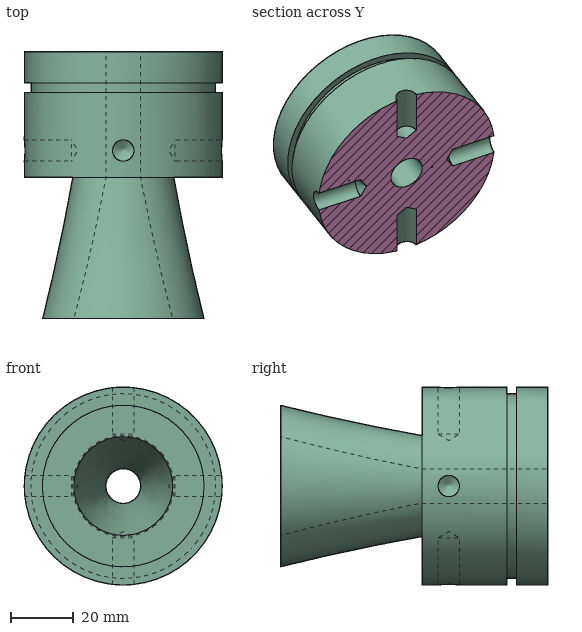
import cadquery as cq
import math

total_length = 84.95

body_diameter = 63.0
body_length = 40.0

groove_diameter = 58.8
groove_offset = 10.0
groove_width = 3.0

neck_diameter = 32.2
exit_diameter = 51.4
exit_wall = 10.0
flare_sag = 0.4

throat_diameter = 11.0

radial_hole_diameter = 6.78
radial_hole_depth = 15.0
drill_point_angle = 118.0
radial_hole_offset = 31.5
radial_hole_count = 4

body_radius = body_diameter / 2
neck_radius = neck_diameter / 2
exit_radius = exit_diameter / 2
throat_radius = throat_diameter / 2
exit_bore_radius = exit_radius - exit_wall
body_front = -body_length
nozzle_exit = -total_length
nozzle_middle = (body_front + nozzle_exit) / 2
full_turn = 360.0


def turned(profile):
    """Revolve a closed XY profile about the Y axis."""
    return profile.close().revolve(full_turn, (0, 0, 0), (0, 1, 0))


def flared_solid(small_radius, large_radius):
    """Solid that widens along a shallow arc from the body front to the nozzle exit."""
    middle_radius = (small_radius + large_radius) / 2 - flare_sag
    profile = (
        cq.Workplane("XY")
        .moveTo(0, body_front)
        .lineTo(small_radius, body_front)
        .threePointArc((middle_radius, nozzle_middle), (large_radius, nozzle_exit))
        .lineTo(0, nozzle_exit)
    )
    return turned(profile)


def grooved_body():
    """Cylinder with a square ring groove near its rear face."""
    groove_radius = groove_diameter / 2
    groove_rear = -groove_offset
    groove_front = groove_rear - groove_width
    profile = (
        cq.Workplane("XY")
        .lineTo(body_radius, 0)
        .lineTo(body_radius, groove_rear)
        .lineTo(groove_radius, groove_rear)
        .lineTo(groove_radius, groove_front)
        .lineTo(body_radius, groove_front)
        .lineTo(body_radius, body_front)
        .lineTo(0, body_front)
    )
    return turned(profile)


def passage():
    """Straight bore through the body that opens into the flared nozzle bore."""
    bore_profile = (
        cq.Workplane("XY")
        .lineTo(throat_radius, 0)
        .lineTo(throat_radius, body_front)
        .lineTo(0, body_front)
    )
    return turned(bore_profile).union(flared_solid(throat_radius, exit_bore_radius))


def radial_hole(angle):
    """Drilled hole pointing at the axis, turned by an angle about it."""
    hole_radius = radial_hole_diameter / 2
    wall_end = body_radius - radial_hole_depth
    point_length = hole_radius / math.tan(math.radians(drill_point_angle / 2))
    drill = (
        cq.Workplane("XY")
        .moveTo(wall_end - point_length, -radial_hole_offset)
        .lineTo(wall_end, hole_radius - radial_hole_offset)
        .lineTo(body_radius, hole_radius - radial_hole_offset)
        .lineTo(body_radius, -radial_hole_offset)
        .close()
        .revolve(full_turn, (0, -radial_hole_offset, 0), (1, -radial_hole_offset, 0))
    )
    return drill.rotate((0, 0, 0), (0, 1, 0), angle)


result = grooved_body().union(flared_solid(neck_radius, exit_radius)).cut(passage())
for index in range(radial_hole_count):
    result = result.cut(radial_hole(index * full_turn / radial_hole_count))